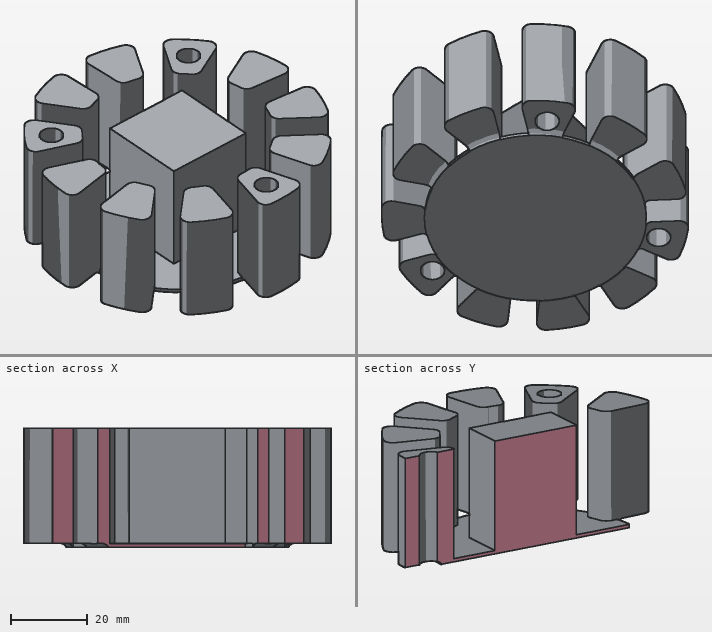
import cadquery as cq
import math

disc_radius = 28.8
disc_thickness = 1.0

core_side = 25.0
total_height = 31.0

post_count = 11
post_pitch = 360 / post_count
first_post_angle = post_pitch / 12
post_inner_radius = 24.9
post_outer_diameter = 80.0
post_outer_radius = post_outer_diameter / 2
post_gap = 7.5
post_corner_radius = 2.5
post_height = total_height - disc_thickness

rim_fillet_radius = 1.7

bored_posts = (0, 4, 7)
bore_diameter = 6.2
bore_circle_radius = 32.9


def post_prism(bottom, height):
    """Post along +X: a ring sector whose sides leave an even gap to its neighbours."""
    half_pitch = math.radians(post_pitch / 2)
    half_gap = post_gap / 2

    def corner(radius):
        angle = half_pitch - math.asin(half_gap / radius)
        return radius * math.cos(angle), radius * math.sin(angle)

    inner_x, inner_y = corner(post_inner_radius)
    outer_x, outer_y = corner(post_outer_radius)
    return (
        cq.Workplane("XY", origin=(0, 0, bottom))
        .moveTo(inner_x, -inner_y)
        .lineTo(outer_x, -outer_y)
        .threePointArc((post_outer_radius, 0), (outer_x, outer_y))
        .lineTo(inner_x, inner_y)
        .threePointArc((post_inner_radius, 0), (inner_x, -inner_y))
        .close()
        .extrude(height)
        .edges("|Z")
        .fillet(post_corner_radius)
    )


def flared_disc():
    """Disc whose rim flares outward in a concave arc, ending level with the post undersides.

    The arc is centred below the disc, so the lowest part of the fillet is cut off by Z = 0.
    """
    centre_radius = disc_radius + rim_fillet_radius
    centre_height = disc_thickness - rim_fillet_radius

    def arc_point(angle):
        return (
            centre_radius - rim_fillet_radius * math.cos(angle),
            centre_height + rim_fillet_radius * math.sin(angle),
        )

    bottom_angle = math.asin(-centre_height / rim_fillet_radius)
    top_angle = math.pi / 2
    return (
        cq.Workplane("XZ")
        .lineTo(*arc_point(bottom_angle))
        .threePointArc(arc_point((bottom_angle + top_angle) / 2), arc_point(top_angle))
        .lineTo(0, disc_thickness)
        .close()
        .revolve(360, (0, 0, 0), (0, 1, 0))
    )


def post_with_fillet():
    """Post plus the concave fillet that joins its underside to the disc rim."""
    rim_fillet = post_prism(0, disc_thickness).intersect(flared_disc())
    return post_prism(disc_thickness, post_height).union(rim_fillet)


def bore():
    return (
        cq.Workplane("XY")
        .center(bore_circle_radius, 0)
        .circle(bore_diameter / 2)
        .extrude(total_height)
    )


disc = cq.Workplane("XY").circle(disc_radius).extrude(disc_thickness)
core = cq.Workplane("XY").rect(core_side, core_side).extrude(total_height)
result = disc.union(core)

plain_post = post_with_fillet()
bored_post = plain_post.cut(bore())
for index in range(post_count):
    post = bored_post if index in bored_posts else plain_post
    angle = first_post_angle + index * post_pitch
    result = result.union(post.rotate((0, 0, 0), (0, 0, 1), angle))